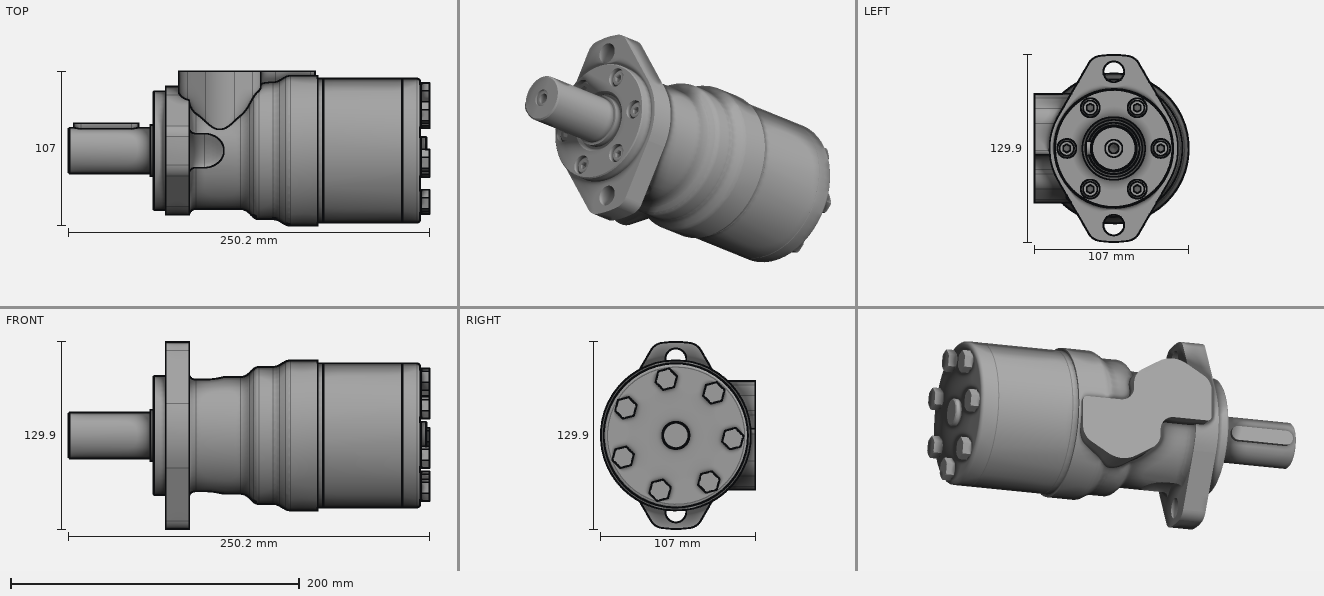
import cadquery as cq
import math


pilot_face_x = 58.8
flange_face_x = 67.3
flange_back_x = 83.8
housing_end_x = 172.6
spacer_end_x = 176.6
ring_end_x = 231.2
cover_end_x = 243.7
motor_end_x = 250.2

neck_radius = 40.5
neck_root_radius = 43.8
neck_start_x = 88.0
neck_end_x = 119.0
waist_radius = 47.5
waist_start_x = 131.9
waist_ramp_angle = 45.0
waist_ramp_concave_radius = 8.5
waist_end_x = 141.5
collar_radius = 52.0
collar_start_x = 153.5
collar_ramp_angle = 30.0
collar_ramp_concave_radius = 9.0

pilot_radius = 41.3
pilot_chamfer = 0.8
flange_length = 129.9
flange_side_radius = 44.5
flange_tip_radius = flange_length / 2.0
flange_flank_angle = 30.0
flange_corner_fillet = 10.5
mount_hole_diameter = 14.3
mount_hole_offset = 53.0
relief_radius = 18.5
relief_end_x = 94.0

screw_count = 6
screw_circle_radius = 32.5
screw_bore_diameter = 13.3
screw_head_diameter = 13.0
screw_head_chamfer = 1.5
screw_head_drop = 2.3
screw_head_height = 8.0
screw_socket_flats = 5.0
screw_socket_depth = 4.0

boss_face_y = 55.0
boss_root_y = 12.5
boss_centre_x = 123.5
boss_half_length = 47.3
lobe_half_width = 28.5
lobe_crown_radius = 20.0
lobe_crown_z = 17.8
lobe_slope_angle = 30.0
lobe_shoulder_fillet = 12.0
boss_foot_z = -4.5
boss_foot_fillet = 3.3
boss_waist_fillet = 9.8

shaft_radius = 16.0
shaft_chamfer = 1.0
shoulder_radius = 17.5
collar_lip_radius = 17.9
shoulder_full_x = 56.5
shaft_end_x = flange_back_x
seal_bore_radius = 19.8
seal_bore_depth = 2.5
seal_bore_chamfer = 2.0
centre_recess_diameter = 12.0
centre_recess_depth = 1.5
centre_hole_diameter = 7.0
centre_hole_depth = 15.0
drill_tip_angle = 118.0

key_start_x = 3.5
key_length = 45.0
key_width = 10.0
key_bottom_y = 11.0
key_top_y = 19.0

gear_radius = 50.0
joint_chamfer = 0.38
cover_fillet = 2.5

bolt_count = 7
bolt_circle_radius = 39.5
first_bolt_angle = -3.2
bolt_head_flats = 13.5
bolt_head_turn = -15.0
bolt_head_chamfer = 0.5
bolt_seat_diameter = 13.0
bolt_seat_height = 0.8
plug_diameter = 19.0
plug_neck_diameter = 18.0
plug_neck_height = 0.8
plug_end_x = 248.2
plug_chamfer = 0.8


def circle_points(radius, count, first_angle=0.0):
    """(y, z) of points evenly spaced on a circle about the motor axis, starting from +Y."""
    angles = [math.radians(first_angle + 360.0 * i / count) for i in range(count)]
    return [(radius * math.cos(a), radius * math.sin(a)) for a in angles]


def at_x(x, y=0.0, z=0.0):
    """Workplane facing +X with its origin at (x, y, z), its axes along Y and Z."""
    return cq.Workplane("YZ", origin=(x, y, z))


def disc(start_x, end_x, radius):
    return at_x(start_x).circle(radius).extrude(end_x - start_x)


def revolve_about_x(profile):
    return profile.close().revolve(360, (0, 0, 0), (1, 0, 0))


def add_ramp(profile, start, end, ramp_angle, concave_radius):
    """Add a concave arc, a straight ramp and a convex arc, tangent to the level lines they join.

    The convex radius follows from the run and the rise between the two (x, radius) points.
    """
    slope = math.radians(ramp_angle)
    run = end[0] - start[0]
    rise = end[1] - start[1]
    both_radii = (run * math.sin(slope) - rise * math.cos(slope)) / (1.0 - math.cos(slope))
    convex_radius = both_radii - concave_radius

    def arc_point(radius, angle):
        return radius * math.sin(angle), radius * (1.0 - math.cos(angle))

    concave_mid = arc_point(concave_radius, slope / 2.0)
    concave_end = arc_point(concave_radius, slope)
    convex_mid = arc_point(convex_radius, slope / 2.0)
    convex_start = arc_point(convex_radius, slope)
    return (
        profile.threePointArc(
            (start[0] + concave_mid[0], start[1] + concave_mid[1]),
            (start[0] + concave_end[0], start[1] + concave_end[1]),
        )
        .lineTo(end[0] - convex_start[0], end[1] - convex_start[1])
        .threePointArc((end[0] - convex_mid[0], end[1] - convex_mid[1]), end)
    )


def make_barrel():
    """Turned body behind the flange, from the flange back to the gear section."""
    root_run = neck_start_x - flange_back_x
    root_rise = neck_root_radius - neck_radius
    root_fillet = (root_run**2 + root_rise**2) / (2.0 * root_rise)
    root_half_turn = math.asin(root_run / root_fillet) / 2.0
    root_mid = (
        neck_start_x - root_fillet * math.sin(root_half_turn),
        neck_radius + root_fillet * (1.0 - math.cos(root_half_turn)),
    )
    profile = (
        cq.Workplane("XY")
        .moveTo(flange_back_x, 0)
        .lineTo(flange_back_x, neck_root_radius)
        .threePointArc(root_mid, (neck_start_x, neck_radius))
        .lineTo(neck_end_x, neck_radius)
    )
    profile = add_ramp(
        profile,
        (neck_end_x, neck_radius),
        (waist_start_x, waist_radius),
        waist_ramp_angle,
        waist_ramp_concave_radius,
    )
    profile = profile.lineTo(waist_end_x, waist_radius)
    profile = add_ramp(
        profile,
        (waist_end_x, waist_radius),
        (collar_start_x, collar_radius),
        collar_ramp_angle,
        collar_ramp_concave_radius,
    )
    profile = profile.lineTo(housing_end_x, collar_radius).lineTo(housing_end_x, 0)
    return revolve_about_x(profile)


def make_flange():
    """Two-hole flange: a round middle with straight flanks running to rounded tips."""
    thickness = flange_back_x - flange_face_x
    flank = math.radians(flange_flank_angle)
    side = (flange_side_radius * math.cos(flank), flange_side_radius * math.sin(flank))
    tip_angle = flank + math.acos(flange_side_radius / flange_tip_radius)
    tip = (flange_tip_radius * math.cos(tip_angle), flange_tip_radius * math.sin(tip_angle))
    flange = (
        at_x(flange_face_x)
        .moveTo(side[0], -side[1])
        .threePointArc((flange_side_radius, 0), side)
        .lineTo(*tip)
        .threePointArc((0, flange_tip_radius), (-tip[0], tip[1]))
        .lineTo(-side[0], side[1])
        .threePointArc((-flange_side_radius, 0), (-side[0], -side[1]))
        .lineTo(-tip[0], -tip[1])
        .threePointArc((0, -flange_tip_radius), (tip[0], -tip[1]))
        .close()
        .extrude(thickness)
    )
    corners = cq.selectors.BoxSelector(
        (flange_face_x, -tip[0] - 2.5, tip[1] - 2.5), (flange_back_x, tip[0] + 2.5, tip[1] + 2.5)
    ) + cq.selectors.BoxSelector(
        (flange_face_x, -tip[0] - 2.5, -tip[1] - 2.5), (flange_back_x, tip[0] + 2.5, -tip[1] + 2.5)
    )
    flange = flange.edges("|X").edges(corners).fillet(flange_corner_fillet)
    holes = (
        at_x(flange_face_x)
        .pushPoints([(0, mount_hole_offset), (0, -mount_hole_offset)])
        .circle(mount_hole_diameter / 2.0)
        .extrude(thickness)
    )
    return flange.cut(holes)


def make_bolt_relief(z):
    """Round-ended clearance behind a mounting hole, for the head of the mounting bolt."""
    diagonal = relief_radius / math.sqrt(2.0)
    half_section = (
        cq.Workplane("XY", origin=(0, 0, z))
        .moveTo(flange_back_x, 0)
        .lineTo(flange_back_x, relief_radius)
        .lineTo(relief_end_x, relief_radius)
        .threePointArc((relief_end_x + diagonal, diagonal), (relief_end_x + relief_radius, 0))
    )
    return revolve_about_x(half_section)


def make_port_boss():
    """Boss on the +Y side, with two hexagon-like lobes offset along the motor axis."""
    slope = math.radians(lobe_slope_angle)
    crown_x = boss_centre_x - boss_half_length + lobe_half_width
    left_x = crown_x - lobe_half_width
    tangent_x = lobe_crown_radius * math.sin(slope)
    tangent_z = lobe_crown_z + lobe_crown_radius * math.cos(slope)
    shoulder_z = tangent_z - (lobe_half_width - tangent_x) * math.tan(slope)
    upper_half = [
        (left_x, boss_foot_z),
        (left_x, shoulder_z),
        (crown_x - tangent_x, tangent_z),
        (crown_x + tangent_x, tangent_z),
        (crown_x + lobe_half_width, shoulder_z),
        (crown_x + lobe_half_width, -boss_foot_z),
    ]
    lower_half = [(2.0 * boss_centre_x - x, -z) for x, z in upper_half]
    crown_z = lobe_crown_z + lobe_crown_radius

    outline = cq.Workplane("XZ", origin=(0, boss_face_y, 0)).moveTo(*upper_half[0])
    for half, top_x, top_z in (
        (upper_half, crown_x, crown_z),
        (lower_half, 2.0 * boss_centre_x - crown_x, -crown_z),
    ):
        if half is lower_half:
            outline = outline.lineTo(*half[0])
        outline = outline.lineTo(*half[1]).lineTo(*half[2])
        outline = outline.threePointArc((top_x, top_z), half[3])
        outline = outline.lineTo(*half[4]).lineTo(*half[5])
    boss = outline.close().extrude(boss_face_y - boss_root_y)

    fillets = {0: boss_foot_fillet, 1: lobe_shoulder_fillet, 4: lobe_shoulder_fillet, 5: boss_waist_fillet}
    mid_y = (boss_face_y + boss_root_y) / 2.0
    for corner, radius in fillets.items():
        for half in (upper_half, lower_half):
            x, z = half[corner]
            boss = boss.edges(cq.selectors.NearestToPointSelector((x, mid_y, z))).fillet(radius)
    return boss


def make_screw_bores():
    depth = screw_head_drop + screw_head_height
    return (
        at_x(pilot_face_x)
        .pushPoints(circle_points(screw_circle_radius, screw_count))
        .circle(screw_bore_diameter / 2.0)
        .extrude(depth)
    )


def make_screw_heads():
    points = circle_points(screw_circle_radius, screw_count)
    top_x = pilot_face_x + screw_head_drop
    heads = (
        at_x(top_x)
        .pushPoints(points)
        .circle(screw_head_diameter / 2.0)
        .extrude(screw_head_height)
        .faces("<X")
        .edges()
        .chamfer(screw_head_chamfer)
    )
    sockets = (
        at_x(top_x)
        .pushPoints(points)
        .polygon(6, screw_socket_flats, circumscribed=True)
        .extrude(screw_socket_depth)
    )
    return heads.cut(sockets)


def make_shaft_pocket():
    """Shaft bore, widened at the pilot face into a chamfered seal seat."""
    mouth_radius = seal_bore_radius + seal_bore_chamfer
    profile = (
        cq.Workplane("XY")
        .moveTo(pilot_face_x, 0)
        .lineTo(pilot_face_x, mouth_radius)
        .lineTo(pilot_face_x + seal_bore_chamfer, seal_bore_radius)
        .lineTo(pilot_face_x + seal_bore_depth, seal_bore_radius)
        .lineTo(pilot_face_x + seal_bore_depth, shoulder_radius)
        .lineTo(shaft_end_x, shoulder_radius)
        .lineTo(shaft_end_x, 0)
    )
    return revolve_about_x(profile)


def make_housing():
    pilot = disc(pilot_face_x, flange_face_x, pilot_radius).faces("<X").edges().chamfer(pilot_chamfer)
    housing = make_barrel().union(make_flange())
    for z in (mount_hole_offset, -mount_hole_offset):
        housing = housing.cut(make_bolt_relief(z))
    housing = housing.union(pilot).union(make_port_boss())
    housing = housing.cut(make_screw_bores()).union(make_screw_heads())
    return housing.cut(make_shaft_pocket())


def make_key():
    return (
        cq.Workplane("XZ", origin=(key_start_x + key_length / 2.0, key_top_y, 0))
        .slot2D(key_length, key_width)
        .extrude(key_top_y - key_bottom_y)
    )


def make_centre_hole():
    """Recessed hole in the shaft end, closed by a drill point."""
    hole_radius = centre_hole_diameter / 2.0
    recess_radius = centre_recess_diameter / 2.0
    tip_depth = hole_radius / math.tan(math.radians(drill_tip_angle / 2.0))
    profile = (
        cq.Workplane("XY")
        .lineTo(0, recess_radius)
        .lineTo(centre_recess_depth, recess_radius)
        .lineTo(centre_recess_depth, hole_radius)
        .lineTo(centre_hole_depth, hole_radius)
        .lineTo(centre_hole_depth + tip_depth, 0)
    )
    return revolve_about_x(profile)


def make_shaft(key):
    profile = (
        cq.Workplane("XY")
        .lineTo(0, shaft_radius - shaft_chamfer)
        .lineTo(shaft_chamfer, shaft_radius)
        .lineTo(shoulder_full_x, shaft_radius)
        .lineTo(shoulder_full_x, collar_lip_radius)
        .lineTo(pilot_face_x + seal_bore_depth, collar_lip_radius)
        .lineTo(pilot_face_x + seal_bore_depth, shoulder_radius)
        .lineTo(shaft_end_x, shoulder_radius)
        .lineTo(shaft_end_x, 0)
    )
    return revolve_about_x(profile).cut(make_centre_hole()).cut(key)


def make_spacer():
    return disc(housing_end_x, spacer_end_x, gear_radius).faces(">X").edges().chamfer(joint_chamfer)


def make_gear_ring():
    ring = disc(spacer_end_x, ring_end_x, gear_radius)
    return ring.faces("<X or >X").edges().chamfer(joint_chamfer)


def make_bolt_head(y, z):
    head_x = cover_end_x + bolt_seat_height
    corner_radius = bolt_head_flats / math.sqrt(3.0)
    seat = at_x(cover_end_x, y, z).circle(bolt_seat_diameter / 2.0).extrude(bolt_seat_height)
    hexagon = (
        at_x(head_x, y, z)
        .transformed(rotate=(0, 0, bolt_head_turn))
        .polygon(6, bolt_head_flats, circumscribed=True)
        .extrude(motor_end_x - head_x)
    )
    rounding = (
        at_x(head_x, y, z)
        .circle(corner_radius)
        .extrude(motor_end_x - head_x)
        .faces(">X")
        .edges()
        .chamfer(bolt_head_chamfer)
    )
    return seat.union(hexagon.intersect(rounding))


def make_plug():
    neck_end_x = cover_end_x + plug_neck_height
    head = disc(neck_end_x, plug_end_x, plug_diameter / 2.0).faces(">X").edges().chamfer(plug_chamfer)
    return disc(cover_end_x, neck_end_x, plug_neck_diameter / 2.0).union(head)


def make_end_cover():
    cover = disc(ring_end_x, cover_end_x, gear_radius)
    cover = cover.faces("<X").edges().chamfer(joint_chamfer)
    cover = cover.faces(">X").edges().fillet(cover_fillet)
    for y, z in circle_points(bolt_circle_radius, bolt_count, first_bolt_angle):
        cover = cover.union(make_bolt_head(y, z))
    return cover.union(make_plug())


housing = make_housing()
key = make_key()
shaft = make_shaft(key)
spacer = make_spacer()
gear_ring = make_gear_ring()
end_cover = make_end_cover()

result = cq.Compound.makeCompound(
    [body.solids().val() for body in (housing, shaft, key, spacer, gear_ring, end_cover)]
)